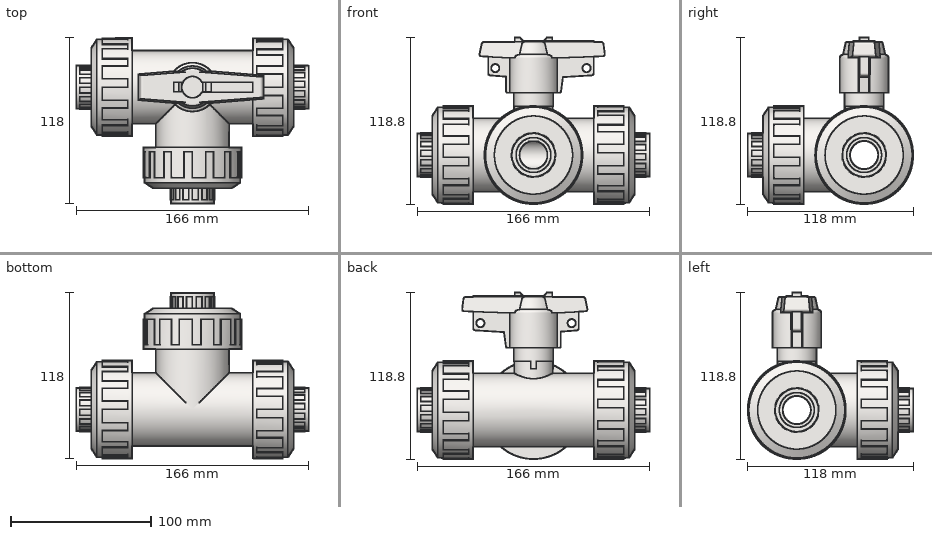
import cadquery as cq
import math


end_reach = 83.0
body_radius = 26.2
bore_radius = 10.0

nut_radius = 35.0
nut_base_radius = 34.2
nut_face_radius = 27.9
nut_start = 43.0
nut_slot_start = 46.0
nut_slot_end = 64.4
nut_chamfer_start = 68.0
nut_end = 72.2

spigot_radius = 15.8
spigot_base_radius = 15.5
spigot_slot_end = 80.2
socket_radius = 12.5
socket_depth = 20.0

slot_count = 14
slot_pitch = 360 / slot_count
slot_span = 10.0
first_slot_angle = 90 - slot_span

stem_radius = 14.1
stem_foot_radius = 13.8
stem_shoulder_z = 34.7
stem_top_z = 57.3
lug_width = 4.0
lug_height = 5.1
lug_angles = (90, 180, 270)

hub_radius = 17.5
hub_bottom_z = 44.3
hub_shoulder_z = 69.2
hub_slot_width = 8.1
shoulder_top = (16.5, 71.0)
cone_base = (15.1, 71.7)
cone_top_radius = 13.5
cone_round = 1.5

bar_top_z = 80.7
bar_end_z = 70.4
bar_left = -38.8
bar_right = 51.1
bar_left_inset = 2.2
bar_right_inset = 1.3
bar_middle_half_width = 12.5
bar_side_slope = 0.078
bar_draft = 6.5
bar_top_round = 2.0
bar_bottom_round = 1.5
bar_plan_margin = 1.7

plate_thickness = 6.8
plate_left = -32.4
plate_right = 43.0
plate_end_z = 56.8
plate_left_step = (-19.6, 55.8)
plate_right_step = (21.0, 55.5)
plate_right_foot = 19.6
plate_tab_round = 1.7
plate_foot_round = 1.2
hole_radius = 2.8
hole_inset = 5.1
hole_z = 62.0

mark_top_z = 81.5
disc_radius = 7.6
strip_width = 7.1
stop_top_z = end_reach + 0.8
stop_width = 6.6
stop_inner = 7.5
stop_inner_top = 9.6
stop_outer = 13.5


def polar(radius, angle):
    return (radius * math.cos(math.radians(angle)), radius * math.sin(math.radians(angle)))


def disc(radius, start, end):
    """Plain cylinder around the -X axis between two distances from the origin."""
    return cq.Workplane("YZ", origin=(-start, 0, 0)).circle(radius).extrude(start - end)


def grip_ring(base_radius, top_radius, start, end):
    """Cylinder around the -X axis with raised pads separated by slots."""
    outline = cq.Workplane("YZ", origin=(-start, 0, 0)).moveTo(*polar(base_radius, first_slot_angle))
    for index in range(slot_count):
        slot_begin = first_slot_angle + index * slot_pitch
        pad_begin = slot_begin + slot_span
        pad_end = slot_begin + slot_pitch
        outline = (
            outline
            .threePointArc(polar(base_radius, slot_begin + slot_span / 2), polar(base_radius, pad_begin))
            .lineTo(*polar(top_radius, pad_begin))
            .threePointArc(polar(top_radius, (pad_begin + pad_end) / 2), polar(top_radius, pad_end))
            .lineTo(*polar(base_radius, pad_end))
        )
    return outline.close().extrude(start - end)


def union_end():
    """Pipe arm, union nut and spigot pointing along -X."""
    nut_rim = [
        (-nut_slot_end, 0),
        (-nut_slot_end, nut_base_radius),
        (-nut_chamfer_start, nut_base_radius),
        (-nut_end, nut_face_radius),
        (-nut_end, 0),
    ]
    return (
        disc(body_radius, 0, nut_start)
        .union(disc(nut_radius, nut_start, nut_slot_start))
        .union(grip_ring(nut_base_radius, nut_radius, nut_slot_start, nut_slot_end))
        .union(cq.Workplane("XY").polyline(nut_rim).close().revolve(360, (0, 0, 0), (1, 0, 0)))
        .union(grip_ring(spigot_base_radius, spigot_radius, nut_end, spigot_slot_end))
        .union(disc(spigot_base_radius, spigot_slot_end, end_reach))
    )


def passage():
    """Bore and pipe socket of the arm along -X."""
    bore = cq.Workplane("YZ").circle(bore_radius).extrude(-end_reach)
    socket = cq.Workplane("YZ", origin=(-end_reach, 0, 0)).circle(socket_radius).extrude(socket_depth)
    return bore.union(socket)


def stem():
    foot = cq.Workplane("XY").circle(stem_foot_radius).extrude(stem_shoulder_z)
    neck = (
        cq.Workplane("XY", origin=(0, 0, stem_shoulder_z))
        .circle(stem_radius)
        .extrude(stem_top_z - stem_shoulder_z)
    )
    lug_envelope = (
        cq.Workplane("XY", origin=(0, 0, stem_shoulder_z - lug_height))
        .circle(stem_radius)
        .extrude(lug_height)
    )
    lug_bar = cq.Workplane("XY").box(
        stem_radius, lug_width, stem_shoulder_z, centered=(False, True, False)
    )
    column = foot.union(neck)
    for angle in lug_angles:
        lug = lug_bar.rotate((0, 0, 0), (0, 0, 1), angle).intersect(lug_envelope)
        column = column.union(lug)
    return column


def hub():
    """Round skirt with a domed shoulder, slotted along X for the locking plate."""
    bend = math.sqrt(0.5)
    round_middle = (
        cone_top_radius - cone_round * (1 - bend),
        bar_top_z - cone_round * (1 - bend),
    )
    body = (
        cq.Workplane("XZ")
        .moveTo(0, hub_bottom_z)
        .lineTo(hub_radius, hub_bottom_z)
        .lineTo(hub_radius, hub_shoulder_z)
        .tangentArcPoint(shoulder_top, relative=False)
        .lineTo(*cone_base)
        .lineTo(cone_top_radius, bar_top_z - cone_round)
        .threePointArc(round_middle, (cone_top_radius - cone_round, bar_top_z))
        .lineTo(0, bar_top_z)
        .close()
        .revolve(360, (0, 0, 0), (0, 1, 0))
    )
    slot = cq.Workplane("XY", origin=(0, 0, hub_bottom_z)).box(
        2 * hub_radius, hub_slot_width, bar_end_z - hub_bottom_z, centered=(True, True, False)
    )
    return body.cut(slot)


def bar():
    """Lever with tapering width, drafted sides and sloped ends."""
    def half_width(x):
        return bar_middle_half_width - bar_side_slope * abs(x)

    left = bar_left - bar_plan_margin
    right = bar_right + bar_plan_margin
    plan = [
        (left, half_width(left)),
        (0, bar_middle_half_width),
        (right, half_width(right)),
        (right, -half_width(right)),
        (0, -bar_middle_half_width),
        (left, -half_width(left)),
    ]
    side = [
        (bar_left, bar_end_z),
        (bar_left + bar_left_inset, bar_top_z),
        (bar_right - bar_right_inset, bar_top_z),
        (bar_right, bar_end_z),
        (hub_radius, hub_shoulder_z),
        (-hub_radius, hub_shoulder_z),
    ]
    lever = (
        cq.Workplane("XY", origin=(0, 0, hub_shoulder_z))
        .polyline(plan)
        .close()
        .extrude(bar_top_z - hub_shoulder_z, taper=bar_draft)
    )
    profile = cq.Workplane("XZ").polyline(side).close().extrude(bar_middle_half_width, both=True)
    lever = lever.intersect(profile).edges("|Y and >Z").fillet(bar_top_round)
    for x in (bar_left, bar_right):
        lower_edge = cq.NearestToPointSelector((x, 0, bar_end_z))
        lever = lever.edges(lower_edge).fillet(bar_bottom_round)
    return lever


def locking_plate():
    outline = [
        (plate_left, bar_end_z),
        (plate_left, plate_end_z),
        plate_left_step,
        (plate_left_step[0], hub_bottom_z),
        (plate_right_foot, hub_bottom_z),
        plate_right_step,
        (plate_right, plate_end_z),
        (plate_right, bar_end_z),
        (hub_radius, hub_shoulder_z),
        (-hub_radius, hub_shoulder_z),
    ]
    plate = cq.Workplane("XZ").polyline(outline).close().extrude(plate_thickness / 2, both=True)
    corners = [
        (plate_left, plate_end_z, plate_tab_round),
        (plate_left_step[0], hub_bottom_z, plate_foot_round),
        (plate_right_foot, hub_bottom_z, plate_foot_round),
        (plate_right, plate_end_z, plate_tab_round),
    ]
    for x, z, radius in corners:
        plate = plate.edges(cq.NearestToPointSelector((x, 0, z))).fillet(radius)
    holes = (
        cq.Workplane("XZ")
        .pushPoints([(plate_left + hole_inset, hole_z), (plate_right - hole_inset, hole_z)])
        .circle(hole_radius)
        .extrude(plate_thickness, both=True)
    )
    return plate.cut(holes)


def top_marks():
    """Round cap, pointer strip and two stops on top of the bar."""
    mark_height = mark_top_z - bar_top_z
    marks = cq.Workplane("XY", origin=(0, 0, bar_top_z)).circle(disc_radius).extrude(mark_height)
    strip = cq.Workplane("XY", origin=(0, 0, bar_top_z)).box(
        plate_right, strip_width, mark_height, centered=(False, True, False)
    )
    stop = (
        cq.Workplane("XZ")
        .moveTo(stop_inner, bar_top_z)
        .lineTo(stop_inner, mark_top_z)
        .lineTo(stop_inner_top, stop_top_z)
        .lineTo(stop_outer, stop_top_z)
        .lineTo(stop_outer, bar_top_z)
        .close()
        .extrude(stop_width / 2, both=True)
    )
    return marks.union(strip).union(stop).union(stop.mirror("YZ"))


end = union_end()
opening = passage()
arm_angles = (0, 90, 180)

result = stem()
for angle in arm_angles:
    result = result.union(end.rotate((0, 0, 0), (0, 0, 1), angle))
for angle in arm_angles:
    result = result.cut(opening.rotate((0, 0, 0), (0, 0, 1), angle))

handle = hub().union(bar()).union(locking_plate()).union(top_marks())
result = result.union(handle)